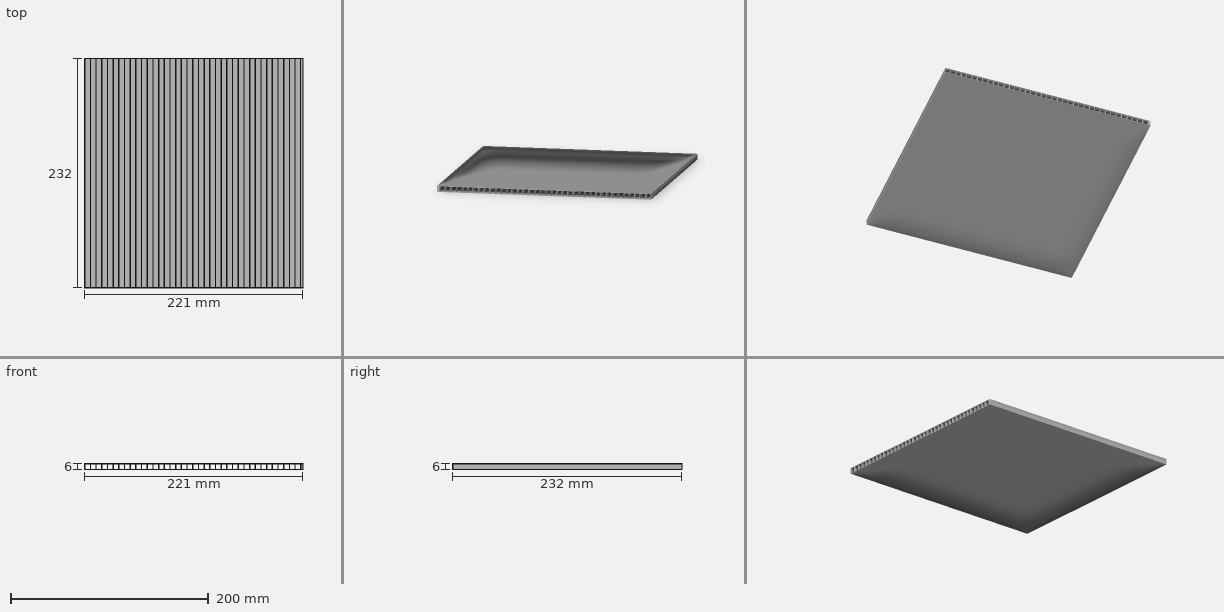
import cadquery as cq

width = 221.0
length = 232.0
thickness = 6.0

skin = 0.3
rib = 0.28
edge_strip = 2.5
channel_count = 38

channel_pitch = (width - edge_strip) / channel_count
channel_width = channel_pitch - rib
channel_height = thickness - 2 * skin


def panel_blank():
    """Solid panel centred on the origin."""
    return cq.Workplane("XY").box(width, length, thickness)


def channels():
    """All through channels along Y, spread across X from the -X side wall."""
    first_center = -width / 2 + rib + channel_width / 2
    centers = [(first_center + index * channel_pitch, 0) for index in range(channel_count)]
    return (
        cq.Workplane("XY")
        .pushPoints(centers)
        .box(channel_width, length, channel_height, combine=False)
    )


result = panel_blank()
for channel in channels().vals():
    result = result.cut(cq.Workplane(channel))